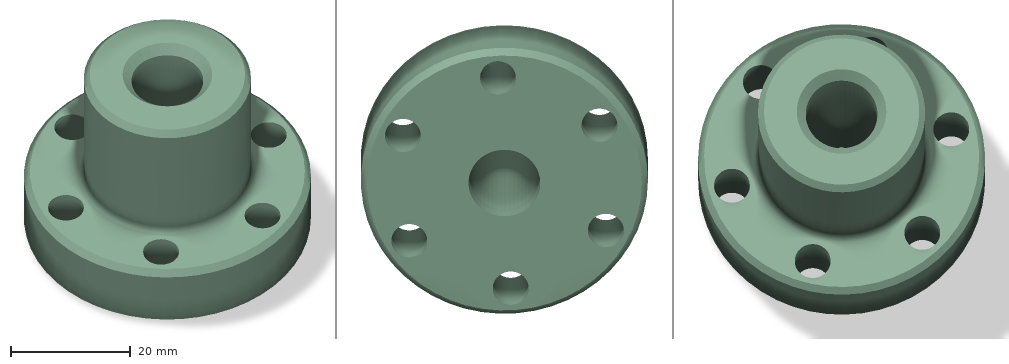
import cadquery as cq

flange_diameter = 48.0
flange_thickness = 12.0
edge_chamfer = 1.0

hub_diameter = 28.0
total_height = 35.0
root_fillet = 1.0

bore_diameter = 12.0
countersink_depth = 1.5

bolt_hole_count = 6
bolt_hole_diameter = 6.0
bolt_circle_diameter = 38.0
first_bolt_angle = 90.0


def make_flange():
    flange = cq.Workplane("XY").circle(flange_diameter / 2).extrude(flange_thickness)
    return flange.edges().chamfer(edge_chamfer)


def add_hub(flange):
    hub = cq.Workplane("XY").circle(hub_diameter / 2).extrude(total_height)
    hub = hub.faces(">Z").edges().chamfer(edge_chamfer)
    body = flange.union(hub)
    root = cq.selectors.NearestToPointSelector((0, 0, flange_thickness))
    return body.edges("%CIRCLE").edges(root).fillet(root_fillet)


def cut_bore(body):
    body = body.faces(">Z").workplane().hole(bore_diameter)
    mouth = cq.selectors.RadiusNthSelector(0)
    return body.faces(">Z").edges(mouth).chamfer(countersink_depth)


def cut_bolt_holes(body):
    holes = (
        cq.Workplane("XY")
        .polarArray(bolt_circle_diameter / 2, first_bolt_angle, 360, bolt_hole_count)
        .circle(bolt_hole_diameter / 2)
        .extrude(flange_thickness)
    )
    return body.cut(holes)


result = cut_bolt_holes(cut_bore(add_hub(make_flange())))